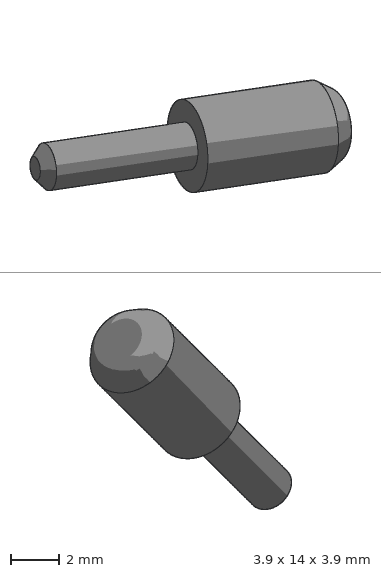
import cadquery as cq

total_length = 14.0
head_length = 7.0
head_diameter = 3.9
pin_length = total_length - head_length
pin_diameter = 2.0
pin_chamfer = 0.5

nose_length = 1.0
nose_end_diameter = 2.75
nose_fillet = 0.67


def make_head():
    """Solid cylinder with a rounded conical nose at its +Y end."""
    radius = head_diameter / 2
    return (
        cq.Workplane("XY")
        .lineTo(radius, 0)
        .lineTo(radius, head_length - nose_length)
        .lineTo(nose_end_diameter / 2, head_length)
        .lineTo(0, head_length)
        .close()
        .revolve(360, (0, 0, 0), (0, 1, 0))
        .faces(">Y")
        .edges()
        .fillet(nose_fillet)
    )


def make_pin():
    """Round pin butted against the flat head face, chamfered at its free -Y end."""
    return (
        cq.Workplane("XZ")
        .circle(pin_diameter / 2)
        .extrude(pin_length)
        .faces("<Y")
        .chamfer(pin_chamfer)
    )


head = make_head()
pin = make_pin()
result = cq.Compound.makeCompound([head.val(), pin.val()])